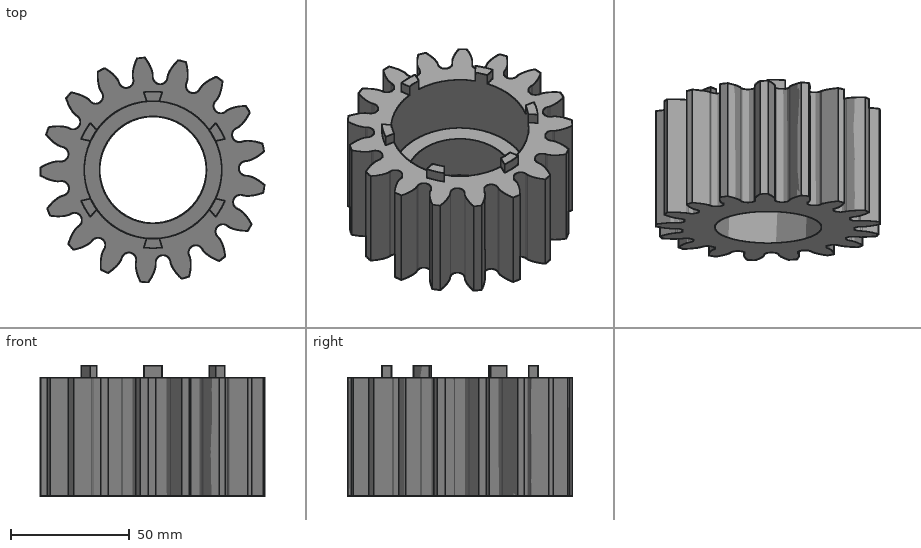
import cadquery as cq
import math

tooth_count = 17
tip_radius = 47.5
module = tip_radius / (tooth_count / 2 + 1)
pitch_radius = module * tooth_count / 2
dedendum = 1.25 * module
root_radius = pitch_radius - dedendum
pressure_angle = math.radians(20)
base_radius = pitch_radius * math.cos(pressure_angle)
tooth_pitch = 2 * math.pi / tooth_count
first_tooth_angle = 180.9
flank_segments = 8

body_height = 50.0
bore_radius = 22.5
counterbore_radius = 29.0
counterbore_depth = 28.45

lug_count = 6
lug_height = 5.0
lug_outer_radius = 33.0
lug_outer_half_width = 3.9
lug_inner_half_width = 2.7
lug_overlap = 0.95
first_lug_angle = 30


def polar(radius, angle):
    return (radius * math.cos(angle), radius * math.sin(angle))


def involute(angle):
    return math.tan(angle) - angle


def tooth_half_angle(radius):
    """Angle from the tooth centreline to its involute flank at a radius."""
    flank_angle = math.acos(min(1, base_radius / radius))
    return tooth_pitch / 4 + involute(pressure_angle) - involute(flank_angle)


gap_half_angle = tooth_pitch / 2 - tooth_half_angle(base_radius)
root_arc_centre = root_radius / (1 - math.sin(gap_half_angle))
root_tangent_radius = root_arc_centre * math.cos(gap_half_angle)


def flank_points(centre_angle, side):
    """Points from base circle to tip on one flank; side is -1 or +1."""
    tip_roll = math.sqrt((tip_radius / base_radius) ** 2 - 1)
    points = []
    for step in range(flank_segments + 1):
        roll = tip_roll * step / flank_segments
        radius = base_radius * math.hypot(1, roll)
        points.append(polar(radius, centre_angle + side * tooth_half_angle(radius)))
    return points


def make_gear_blank():
    base_half_angle = tooth_half_angle(base_radius)
    first_angle = math.radians(first_tooth_angle)
    outline = cq.Workplane("XY").moveTo(*polar(root_tangent_radius, first_angle - base_half_angle))
    for tooth in range(tooth_count):
        angle = first_angle + tooth * tooth_pitch
        rising_flank = flank_points(angle, -1)
        falling_flank = flank_points(angle, 1)[::-1]
        next_root_start = polar(root_tangent_radius, angle + tooth_pitch - base_half_angle)
        outline = (
            outline.lineTo(*rising_flank[0])
            .spline(rising_flank[1:], includeCurrent=True)
            .threePointArc(polar(tip_radius, angle), falling_flank[0])
            .spline(falling_flank[1:], includeCurrent=True)
            .lineTo(*polar(root_tangent_radius, angle + base_half_angle))
            .threePointArc(polar(root_radius, angle + tooth_pitch / 2), next_root_start)
        )
    return outline.close().extrude(body_height)


def make_lug():
    """Tapered lug on the +X axis with a round outer face; the counterbore trims its inner end."""
    inner_x = math.sqrt(counterbore_radius ** 2 - lug_inner_half_width ** 2)
    outer_x = math.sqrt(lug_outer_radius ** 2 - lug_outer_half_width ** 2)
    return (
        cq.Workplane("XY", origin=(0, 0, body_height - lug_overlap))
        .moveTo(bore_radius, -lug_inner_half_width)
        .lineTo(inner_x, -lug_inner_half_width)
        .lineTo(outer_x, -lug_outer_half_width)
        .threePointArc((lug_outer_radius, 0), (outer_x, lug_outer_half_width))
        .lineTo(inner_x, lug_inner_half_width)
        .lineTo(bore_radius, lug_inner_half_width)
        .close()
        .extrude(lug_overlap + lug_height)
    )


def make_stepped_bore():
    ledge_height = body_height - counterbore_depth
    bore = cq.Workplane("XY").circle(bore_radius).extrude(body_height)
    counterbore = (
        cq.Workplane("XY", origin=(0, 0, ledge_height))
        .circle(counterbore_radius)
        .extrude(counterbore_depth + lug_height)
    )
    return bore.union(counterbore)


result = make_gear_blank()
lug = make_lug()
for index in range(lug_count):
    lug_angle = first_lug_angle + index * 360 / lug_count
    result = result.union(lug.rotate((0, 0, 0), (0, 0, 1), lug_angle))
result = result.cut(make_stepped_bore())